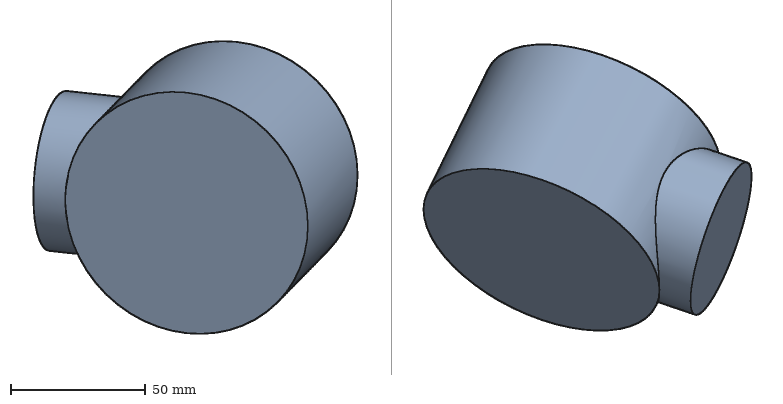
import cadquery as cq

body_diameter = 95.0
body_width = 60.0
branch_diameter = 60.0
branch_reach = 60.0


def make_body():
    """Drum with its axis along Y, centred on the origin."""
    front_face = cq.Workplane("XZ", origin=(0, -body_width / 2, 0))
    return front_face.circle(body_diameter / 2).extrude(-body_width)


def make_branch():
    """Round stub from the body axis out along -X."""
    return cq.Workplane("YZ").circle(branch_diameter / 2).extrude(-branch_reach)


result = make_body().union(make_branch())